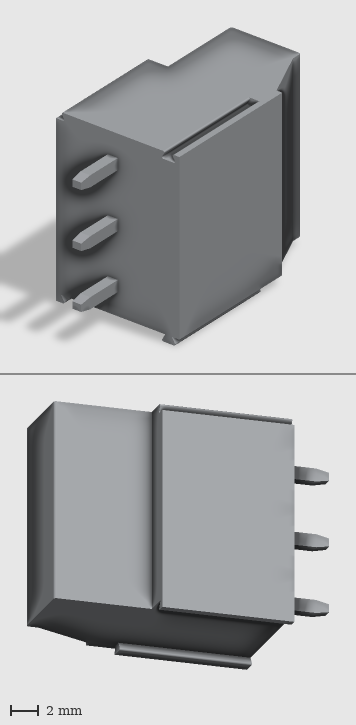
import cadquery as cq
import math

WIDTH = 11.2
TOTAL_LENGTH = 21.6
PIN_LENGTH = 4.21
BODY_LENGTH = TOTAL_LENGTH - PIN_LENGTH
BODY_HEIGHT = 15.01

BASE_LENGTH = 10.0
LEFT_STEP = 2.38
RIGHT_SHOULDER_Y = 12.0
RIGHT_SHOULDER_WIDTH = 0.52
RIGHT_STEP = 2.48
SLOPE_DROP = 0.93
BACK_ROUND = 0.2

DOVETAIL_HEIGHT = 0.65
DOVETAIL_LEFT = 9.63
DOVETAIL_RIGHT = 10.82
HOOK_REACH = 0.73
DOVETAIL_ROUND = 0.1
WALL_LEAN = math.radians(30)

PIN_COUNT = 3
PIN_PITCH = 5.01
PIN_X = 5.16
PIN_WIDTH = 0.9
PIN_HEIGHT = 1.0
TIP_LENGTH = 1.0
TIP_WIDTH = 0.8
TIP_HEIGHT = 0.6


def make_housing():
    """Plain block with the stepped and sloped plan outline and rounded back corners."""
    outline = [
        (0, 0),
        (WIDTH, 0),
        (WIDTH, RIGHT_SHOULDER_Y),
        (WIDTH - RIGHT_SHOULDER_WIDTH, RIGHT_SHOULDER_Y),
        (WIDTH - RIGHT_STEP, BODY_LENGTH - SLOPE_DROP),
        (WIDTH - RIGHT_STEP, BODY_LENGTH),
        (LEFT_STEP, BODY_LENGTH),
        (LEFT_STEP, BASE_LENGTH),
        (0, BASE_LENGTH),
    ]
    housing = cq.Workplane("XY").polyline(outline).close().extrude(BODY_HEIGHT)
    return housing.faces(">Y").edges("|Z").fillet(BACK_ROUND)


def dovetail_wall(tip, side, top, round_mouth):
    """Outline pieces down one leaning wall, from its mouth at `top` to its rounded tip below.

    `tip` is the outermost X of the wall and `side` is +1 or -1 for the way the tip points.
    Each piece is a list of points: two for a straight line, three for an arc.
    """
    rise = DOVETAIL_ROUND * math.sin(WALL_LEAN)
    reach = DOVETAIL_ROUND * math.cos(WALL_LEAN)
    bottom = top - DOVETAIL_HEIGHT
    tip_center_x = tip - side * DOVETAIL_ROUND
    tip_center_z = bottom + DOVETAIL_ROUND
    tip_start = (tip_center_x + side * reach, tip_center_z + rise)
    tip_middle = (tip_center_x + side * reach, tip_center_z - rise)
    tip_arc = [tip_start, tip_middle, (tip_center_x, bottom)]

    def wall_x(z):
        return tip_start[0] - side * (z - tip_start[1]) * math.tan(WALL_LEAN)

    if not round_mouth:
        return [[(wall_x(top), top), tip_start], tip_arc]

    mouth_center_z = top - DOVETAIL_ROUND
    mouth_end = (wall_x(mouth_center_z - rise), mouth_center_z - rise)
    mouth_middle = (mouth_end[0], mouth_center_z + rise)
    mouth_start = (mouth_end[0] + side * reach, top)
    return [[mouth_start, mouth_middle, mouth_end], [mouth_end, tip_start], tip_arc]


def base_bar(pieces):
    """Bar along the whole base, with the outline `pieces` joined end to end by straight lines."""
    edges = []
    for piece, following in zip(pieces, pieces[1:] + pieces[:1]):
        points = [cq.Vector(x, 0, z) for x, z in piece]
        make_edge = cq.Edge.makeThreePointArc if len(points) == 3 else cq.Edge.makeLine
        edges.append(make_edge(*points))
        if piece[-1] != following[0]:
            edges.append(cq.Edge.makeLine(points[-1], cq.Vector(following[0][0], 0, following[0][1])))
    outline = cq.Wire.assembleEdges(edges)
    return cq.Workplane(cq.Solid.extrudeLinear(outline, [], cq.Vector(0, BASE_LENGTH, 0)))


def dovetail_bars(top, round_mouth):
    """Left hook and right dovetail running along the base, hanging down from the level `top`."""
    hook_wall = dovetail_wall(HOOK_REACH, 1, top, round_mouth)
    left_side = [(0, top - DOVETAIL_HEIGHT), (0, top)]
    right_wall = dovetail_wall(DOVETAIL_RIGHT, 1, top, round_mouth)
    left_wall = dovetail_wall(DOVETAIL_LEFT, -1, top, round_mouth)
    left_wall_upward = [piece[::-1] for piece in left_wall[::-1]]
    return base_bar(hook_wall + [left_side]).union(base_bar(right_wall + left_wall_upward))


def make_pin(z):
    """Rectangular pin with a tapered tip, standing out of the front face at height `z`."""
    shank_length = PIN_LENGTH - TIP_LENGTH
    shank = (
        cq.Workplane("XZ", origin=(PIN_X, 0, z))
        .rect(PIN_WIDTH, PIN_HEIGHT)
        .extrude(shank_length)
    )
    tip = (
        cq.Workplane("XZ", origin=(PIN_X, -shank_length, z))
        .rect(PIN_WIDTH, PIN_HEIGHT)
        .workplane(offset=TIP_LENGTH)
        .rect(TIP_WIDTH, TIP_HEIGHT)
        .loft()
    )
    return shank.union(tip)


result = make_housing()
result = result.union(dovetail_bars(0, round_mouth=False))
result = result.cut(dovetail_bars(BODY_HEIGHT, round_mouth=True))
for i in range(PIN_COUNT):
    pin_z = BODY_HEIGHT / 2 + (i - (PIN_COUNT - 1) / 2) * PIN_PITCH
    result = result.union(make_pin(pin_z))